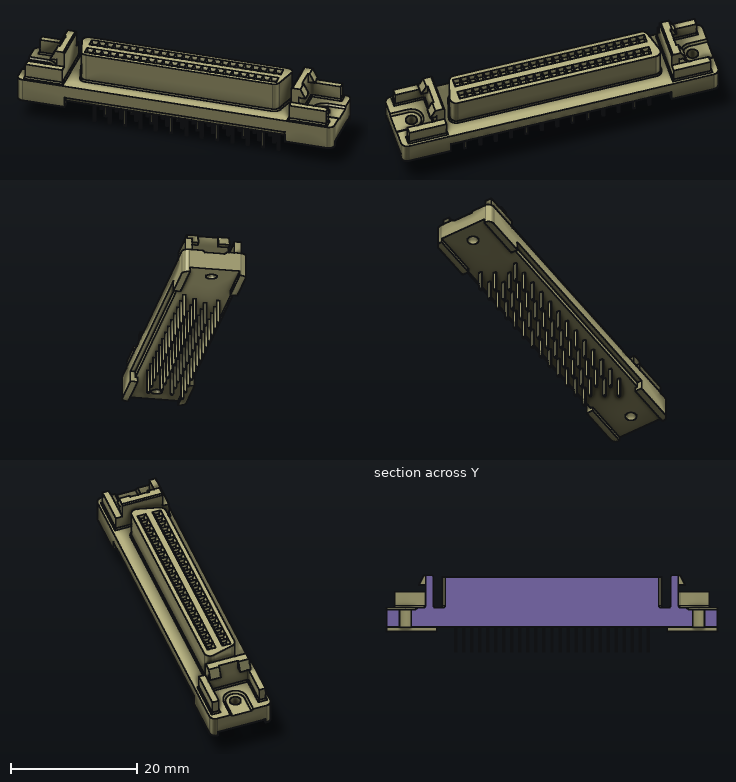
import cadquery as cq
import math

base_length = 52.45
base_width = 10.35
base_height = 3.85
corner_radius = 1.0

leg_width = 1.15
channel_height = 0.75
side_relief_height = 1.75
side_relief_inset = 0.8
side_relief_length = 36.5

contacts_per_row = 25
contact_row_length = 30.45
contact_pitch = contact_row_length / (contacts_per_row - 1)
cavity_row_spacing = 2.5
cavity_length = 1.2
cavity_width = 1.4
cavity_floor_length = 0.8
cavity_floor_width = 0.6
cavity_depth = 0.5
pin_rows_span = 5.7
pin_row_spacing = pin_rows_span / 3
pin_thickness = 0.3
pin_width = 0.45
pin_bottom = -3.15
pin_tip_height = 0.25
pin_tip_width = 0.15

housing_top = 8.7
housing_width = 5.45
housing_front_length = 32.4
housing_side_angle = 15.0
housing_corner_radius = 1.0

latch_back = 18.8
latch_front = 20.05
latch_top = 8.95
latch_back_chamfer = 0.2
hook_tip = 21.15
hook_top_edge = 20.3
hook_underside = 7.4
hook_width = 1.8
rail_end = 24.9
rail_top = 6.35
rail_outer_width = 9.0
rail_inner_width = 6.8
rail_corner_radius = 0.2
foot_chamfer = 0.2
foot_chamfer_height = 0.25

hole_diameter = 1.8
hole_x = 23.25
recess_depth = 0.3
recess_floor_radius = 1.55
recess_rim_radius = 1.95


def make_base():
    """Rounded bar with a channel along its underside and cut-back side walls."""
    bar = cq.Workplane("XY").box(base_length, base_width, base_height, centered=(True, True, False))
    bar = bar.edges("|Z").fillet(corner_radius)

    end_channel = cq.Workplane("XY").box(base_length, base_width - 2 * leg_width, 2 * channel_height)
    middle_channel = cq.Workplane("XY").box(side_relief_length, base_width, 2 * channel_height)
    bar = bar.cut(end_channel).cut(middle_channel)
    relief_y = (base_width - side_relief_inset) / 2
    side_reliefs = (
        cq.Workplane("XY")
        .pushPoints([(0, -relief_y), (0, relief_y)])
        .box(side_relief_length, side_relief_inset, 2 * side_relief_height)
    )
    return bar.cut(side_reliefs)


def foot(block):
    """Sloped skirt around the bottom of a block that stands on the base."""
    taper = math.degrees(math.atan(foot_chamfer / foot_chamfer_height))
    outline = block.faces("<Z").wires().val().offset2D(foot_chamfer, "intersection")
    return cq.Workplane("XY").newObject(outline).toPending().extrude(foot_chamfer_height, taper=taper)


def make_housing():
    """Solid plug block with rounded corners and a sloped foot."""
    half_width = housing_width / 2
    half_front = housing_front_length / 2
    half_back = half_front + housing_width * math.tan(math.radians(housing_side_angle))
    outline = (
        cq.Workplane("XY", origin=(0, 0, base_height))
        .moveTo(-half_front, -half_width)
        .lineTo(half_front, -half_width)
        .lineTo(half_back, half_width)
        .lineTo(-half_back, half_width)
        .close()
    )
    block = outline.extrude(housing_top - base_height).edges("|Z").fillet(housing_corner_radius)
    return block.union(foot(block))


def make_cavity():
    """Funnel for one contact, its mouth at the housing top."""
    return (
        cq.Workplane("XY", origin=(0, 0, housing_top))
        .rect(cavity_length, cavity_width)
        .workplane(offset=-cavity_depth)
        .rect(cavity_floor_length, cavity_floor_width)
        .loft(ruled=True)
    )


def make_latch_guard():
    """Guard of the -X end: U-shaped rails, with a hooked wall across the closed side."""
    rail_outer = rail_outer_width / 2
    rail_inner = rail_inner_width / 2
    outline = (
        cq.Workplane("XY", origin=(0, 0, base_height))
        .moveTo(-latch_back, -rail_outer)
        .lineTo(-latch_back, rail_outer)
        .lineTo(-rail_end, rail_outer)
        .lineTo(-rail_end, rail_inner)
        .lineTo(-latch_front, rail_inner)
        .lineTo(-latch_front, -rail_inner)
        .lineTo(-rail_end, -rail_inner)
        .lineTo(-rail_end, -rail_outer)
        .close()
    )
    rails = outline.extrude(rail_top - base_height)

    inner_corners = rails.faces("<X[-2]").edges("|Z")
    rails = inner_corners.fillet(rail_corner_radius)

    wall = (
        cq.Workplane("XZ")
        .moveTo(-latch_front, base_height)
        .lineTo(-latch_front, latch_top)
        .lineTo(-latch_back - latch_back_chamfer, latch_top)
        .lineTo(-latch_back, latch_top - latch_back_chamfer)
        .lineTo(-latch_back, base_height)
        .close()
        .extrude(rail_inner, both=True)
    )

    hook = (
        cq.Workplane("XZ", origin=(0, -rail_inner + hook_width, 0))
        .moveTo(-latch_front, hook_underside)
        .lineTo(-hook_tip, hook_underside)
        .lineTo(-hook_top_edge, latch_top)
        .lineTo(-latch_front, latch_top)
        .close()
        .extrude(hook_width)
    )
    return rails.union(foot(rails)).union(wall).union(hook).union(hook.mirror("XZ"))


def make_screw_recess():
    """Recess and through hole of the -X end; the recess opens at the end face."""
    slot_length = base_length - 2 * hole_x
    taper = math.degrees(math.atan((recess_rim_radius - recess_floor_radius) / recess_depth))
    recess = (
        cq.Workplane("XY", origin=(-base_length / 2, 0, base_height - recess_depth))
        .slot2D(slot_length + 2 * recess_floor_radius, 2 * recess_floor_radius)
        .extrude(recess_depth, taper=-taper)
    )
    hole = cq.Workplane("XY").center(-hole_x, 0).circle(hole_diameter / 2).extrude(base_height)
    return recess.union(hole)


def make_pin():
    """One solder pin rooted at mid-height of the base, its tip tapered across the width."""
    half_width = pin_width / 2
    half_tip = pin_tip_width / 2
    root = base_height / 2
    tip_start = pin_bottom + pin_tip_height
    return (
        cq.Workplane("YZ")
        .moveTo(-half_width, root)
        .lineTo(-half_width, tip_start)
        .lineTo(-half_tip, pin_bottom)
        .lineTo(half_tip, pin_bottom)
        .lineTo(half_width, tip_start)
        .lineTo(half_width, root)
        .close()
        .extrude(pin_thickness / 2, both=True)
    )


def copies(shape, points):
    """Copies of a shape moved to each (x, y) point, as one compound."""
    solid = shape.val()
    moved = [solid.moved(cq.Location(cq.Vector(x, y, 0))) for x, y in points]
    return cq.Workplane(cq.Compound.makeCompound(moved))


def make_contact_columns():
    """X places of the pin columns; each cavity row uses all but the last."""
    return [-contact_row_length / 2 + i * contact_pitch for i in range(contacts_per_row + 1)]


columns = make_contact_columns()

result = make_base().union(make_housing())
guard = make_latch_guard()
result = result.union(guard).union(guard.mirror("YZ"))

screw_recess = make_screw_recess()
result = result.cut(screw_recess).cut(screw_recess.mirror("YZ"))

cavity_rows = (-cavity_row_spacing / 2, cavity_row_spacing / 2)
cavity_points = [(x, y) for y in cavity_rows for x in columns[:-1]]
result = result.cut(copies(make_cavity(), cavity_points))

pin_rows = [
    (-1.5 * pin_row_spacing, columns[1::2]),
    (-0.5 * pin_row_spacing, columns[2::2]),
    (0.5 * pin_row_spacing, columns[1:-1:2]),
    (1.5 * pin_row_spacing, columns[0::2]),
]
pin_points = [(x, y) for y, row_columns in pin_rows for x in row_columns]
result = result.union(copies(make_pin(), pin_points))